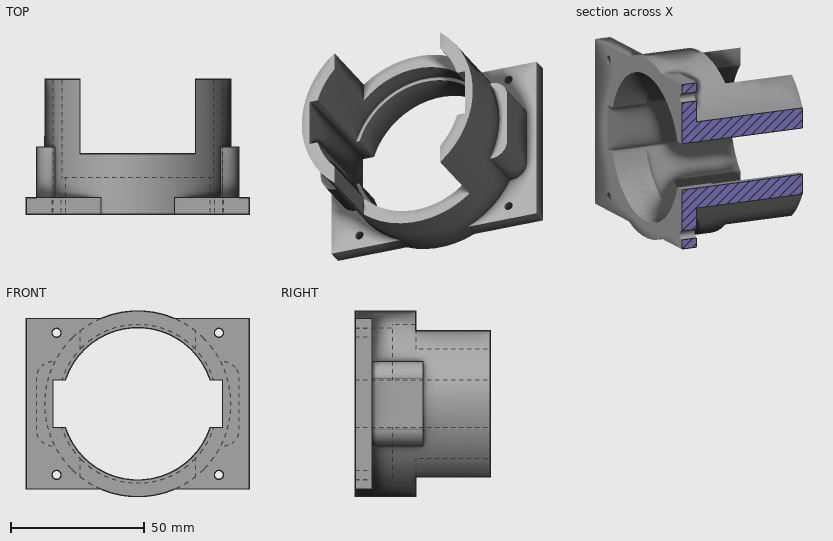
import cadquery as cq

MM_PER_INCH = 25.4

plate_width = 3.3 * MM_PER_INCH
plate_height = 2.525 * MM_PER_INCH
plate_thickness = 0.25 * MM_PER_INCH

sleeve_diameter = 2.75 * MM_PER_INCH
ring_length = 0.9 * MM_PER_INCH
total_length = 2.0 * MM_PER_INCH
finger_gap = 1.7 * MM_PER_INCH

lip_diameter = 2.25 * MM_PER_INCH
lip_length = 0.55 * MM_PER_INCH
bore_diameter = 2.35 * MM_PER_INCH

slot_width = 2.5 * MM_PER_INCH
slot_height = 0.7 * MM_PER_INCH
lug_span = 3.0 * MM_PER_INCH
lug_height = 1.25 * MM_PER_INCH
lug_length = 1.0 * MM_PER_INCH
lug_corner_radius = 0.25 * MM_PER_INCH

hole_diameter = 0.13 * MM_PER_INCH
hole_spacing_x = 2.4 * MM_PER_INCH
hole_spacing_z = 2.1 * MM_PER_INCH


def box_along_y(width, height, start, end):
    """Box centred on the Y axis between two Y positions."""
    return cq.Workplane("XY").box(width, end - start, height).translate((0, (start + end) / 2, 0))


def cylinder_along_y(diameter, start, end):
    """Cylinder on the Y axis between two Y positions."""
    plane = cq.Workplane("XZ", origin=(0, start, 0))
    return plane.circle(diameter / 2).extrude(start - end)


def make_body():
    plate = box_along_y(plate_width, plate_height, 0, plate_thickness)
    lugs = box_along_y(lug_span, lug_height, 0, lug_length).edges("|Y").fillet(lug_corner_radius)
    sleeve = cylinder_along_y(sleeve_diameter, 0, total_length)
    gap = box_along_y(finger_gap, sleeve_diameter, ring_length, total_length)
    return plate.union(sleeve).union(lugs).cut(gap)


def cut_bore(body):
    lip = cylinder_along_y(lip_diameter, 0, lip_length)
    bore = cylinder_along_y(bore_diameter, lip_length, total_length)
    slot = box_along_y(slot_width, slot_height, 0, total_length)
    return body.cut(lip).cut(bore).cut(slot)


def cut_screw_holes(body):
    holes = (
        cq.Workplane("XZ")
        .rarray(hole_spacing_x, hole_spacing_z, 2, 2)
        .circle(hole_diameter / 2)
        .extrude(-plate_thickness)
    )
    return body.cut(holes)


result = cut_screw_holes(cut_bore(make_body()))